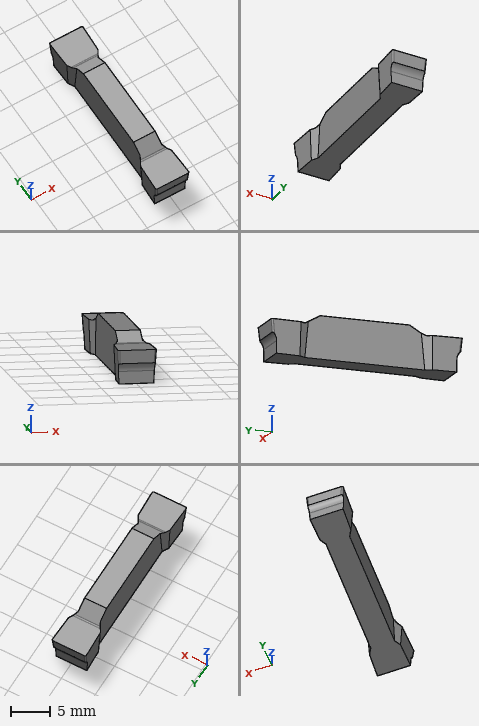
import cadquery as cq
import math

length = 26.2
height = 5.8
seat_height = 4.5
head_width = 5.03
bar_width = 3.25
half_length = length / 2

back_taper = math.radians(2.5)
flank_relief = math.radians(2.8)
hip_angle = math.radians(60)
neck_setback = 4.88
neck_shift = 0.45

nose_depth = 1.75
nose_setback = 0.18
corner_radius = 0.2
relief_setback = 0.73
relief_foot_height = 1.65

ramp_end_setback = 6.97
ramp_angle = math.radians(30)
ramp_blend_radius = 0.5


def plan_points(z):
    """Whole plan outline at height z, with every side face kept planar."""
    drop = seat_height - z
    edge_half_width = head_width / 2 - drop * math.tan(flank_relief)
    bar_half_width = bar_width / 2
    tip = nose_setback * drop / nose_depth
    neck = neck_setback + neck_shift * z / seat_height
    taper = math.tan(back_taper)
    hip_slope = 1 / math.tan(hip_angle)
    hip = (bar_half_width + neck * hip_slope - edge_half_width) / (hip_slope - taper)

    quarter = [
        (edge_half_width - taper * tip, half_length - tip),
        (edge_half_width - taper * hip, half_length - hip),
        (bar_half_width, half_length - neck),
    ]
    right = quarter + [(x, -y) for x, y in reversed(quarter)]
    left = [(-x, -y) for x, y in right]
    return right + left


def make_body():
    """Tapered plan carried to full height, with rounded cutting corners."""
    body = (
        cq.Workplane("XY").polyline(plan_points(0)).close()
        .workplane(offset=height).polyline(plan_points(height)).close()
        .loft(ruled=True)
    )
    tip_y = half_length - nose_setback * (seat_height - height / 2) / nose_depth
    edge_half_width = (
        head_width / 2
        - (seat_height - height / 2) * math.tan(flank_relief)
        - (half_length - tip_y) * math.tan(back_taper)
    )
    for x_side in (-1, 1):
        for y_side in (-1, 1):
            corner = (x_side * edge_half_width, y_side * tip_y, height / 2)
            body = body.edges(cq.selectors.NearestToPointSelector(corner)).fillet(corner_radius)
    return body


def make_side_profile():
    """Side outline extruded across X: nose reliefs, seats, ramps and the bar top."""
    clearance = 0.25
    outer_y = half_length + clearance
    nose_y = half_length - nose_setback
    foot_y = half_length - relief_setback
    nose_z = seat_height - nose_depth

    arc_run = nose_y - foot_y
    arc_rise = nose_z - relief_foot_height
    arc_radius = (arc_run**2 + arc_rise**2) / (2 * arc_run)
    half_sweep = math.asin(arc_rise / arc_radius) / 2
    arc_mid_y = foot_y + arc_radius * (1 - math.cos(half_sweep))
    arc_mid_z = relief_foot_height + arc_radius * math.sin(half_sweep)

    ramp_end_y = half_length - ramp_end_setback
    ramp_start_y = ramp_end_y + (height - seat_height) / math.tan(ramp_angle)

    profile = (
        cq.Workplane("YZ")
        .moveTo(-foot_y, 0)
        .lineTo(foot_y, 0)
        .lineTo(foot_y, relief_foot_height)
        .threePointArc((arc_mid_y, arc_mid_z), (nose_y, nose_z))
        .lineTo(outer_y, nose_z)
        .lineTo(outer_y, seat_height)
        .lineTo(ramp_start_y, seat_height)
        .lineTo(ramp_end_y, height)
        .lineTo(-ramp_end_y, height)
        .lineTo(-ramp_start_y, seat_height)
        .lineTo(-outer_y, seat_height)
        .lineTo(-outer_y, nose_z)
        .lineTo(-nose_y, nose_z)
        .threePointArc((-arc_mid_y, arc_mid_z), (-foot_y, relief_foot_height))
        .close()
        .extrude(head_width, both=True)
    )
    for y in (-ramp_start_y, ramp_start_y):
        ramp_foot = cq.selectors.NearestToPointSelector((0, y, seat_height))
        profile = profile.edges(ramp_foot).fillet(ramp_blend_radius)
    return profile


result = make_body().intersect(make_side_profile())